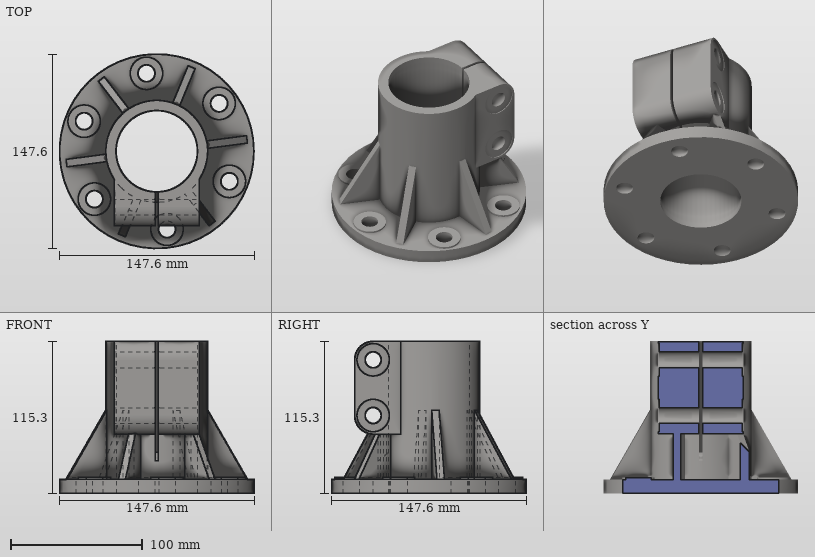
import cadquery as cq

flange_diameter = 147.55
flange_thickness = 10.6

total_height = 115.28
tube_diameter = 77.2
bore_diameter = 61.6

station_count = 6
station_pitch = 360 / station_count
first_rib_angle = 7.5
first_bolt_angle = first_rib_angle + station_pitch / 2

bolt_circle_radius = 59.6
bolt_hole_diameter = 12.7
seat_diameter = 24.6
seat_height = 1.5

rib_thickness = 5.7
rib_outer_radius = 69.0
rib_top_z = 63.1

lug_width = 64.6
lug_height = 70.4
lug_front_y = -56.3
lug_corner_radius = 14.1
clamp_hole_diameter = 12.0
spotface_diameter = 24.6
spotface_depth = 0.6

slit_width = 2.3
slit_bore_z = 31.1
slit_outer_z = 24.7

tube_radius = tube_diameter / 2
bore_radius = bore_diameter / 2
wall_mid_radius = (tube_radius + bore_radius) / 2
lug_bottom_z = total_height - lug_height
clamp_hole_y = lug_front_y + lug_corner_radius
clamp_hole_heights = (lug_bottom_z + lug_corner_radius, total_height - lug_corner_radius)


def cylinder(diameter, bottom_z, height):
    """Upright cylinder on the Z axis."""
    return cq.Workplane("XY").workplane(offset=bottom_z).circle(diameter / 2).extrude(height)


def bolt_stations(bottom_z):
    """Workplane holding the bolt centres at the given height."""
    return cq.Workplane("XY").workplane(offset=bottom_z).polarArray(
        bolt_circle_radius, first_bolt_angle, 360, station_count
    )


def rib(angle):
    """Triangular web from the flange up to the tube wall, rooted inside the wall."""
    profile = [
        (wall_mid_radius, 0),
        (rib_outer_radius, 0),
        (rib_outer_radius, flange_thickness),
        (tube_radius, rib_top_z),
        (wall_mid_radius, rib_top_z),
    ]
    web = cq.Workplane("XZ").polyline(profile).close().extrude(rib_thickness / 2, both=True)
    return web.rotate((0, 0, 0), (0, 0, 1), angle)


def clamp_lug():
    """Block reaching from the tube axis to the front, with two rounded front corners."""
    depth = -lug_front_y
    block = cq.Workplane("XY").box(lug_width, depth, lug_height, centered=(True, False, False))
    block = block.translate((0, lug_front_y, lug_bottom_z))
    return block.edges("<Y and |X").fillet(lug_corner_radius)


def cross_cylinder(diameter, center_z, start_x, length):
    """Cylinder parallel to X through a clamp hole centre."""
    plane = cq.Workplane("YZ").workplane(offset=start_x)
    return plane.center(clamp_hole_y, center_z).circle(diameter / 2).extrude(length)


def clamp_hole_cutter(center_z):
    """Clamp bolt hole with a shallow spotface on both sides of the lug."""
    half_width = lug_width / 2
    hole = cross_cylinder(clamp_hole_diameter, center_z, -half_width, lug_width)
    left = cross_cylinder(spotface_diameter, center_z, -half_width, spotface_depth)
    right = cross_cylinder(spotface_diameter, center_z, half_width - spotface_depth, spotface_depth)
    return hole.union(left).union(right)


def slit_cutter():
    """Slot from the bore out through the front of the lug."""
    profile = [
        (0, total_height),
        (0, slit_bore_z),
        (-bore_radius, slit_bore_z),
        (-tube_radius, slit_outer_z),
        (lug_front_y, slit_outer_z),
        (lug_front_y, total_height),
    ]
    return cq.Workplane("YZ").polyline(profile).close().extrude(slit_width / 2, both=True)


result = cylinder(flange_diameter, 0, flange_thickness)
result = result.union(cylinder(tube_diameter, 0, total_height))
result = result.union(clamp_lug())
for index in range(station_count):
    result = result.union(rib(first_rib_angle + index * station_pitch))
seats = bolt_stations(flange_thickness).circle(seat_diameter / 2).extrude(seat_height)
result = result.union(seats)

result = result.cut(cylinder(bore_diameter, 0, total_height))
bolt_holes = bolt_stations(0).circle(bolt_hole_diameter / 2).extrude(flange_thickness + seat_height)
result = result.cut(bolt_holes)
for height in clamp_hole_heights:
    result = result.cut(clamp_hole_cutter(height))
result = result.cut(slit_cutter())